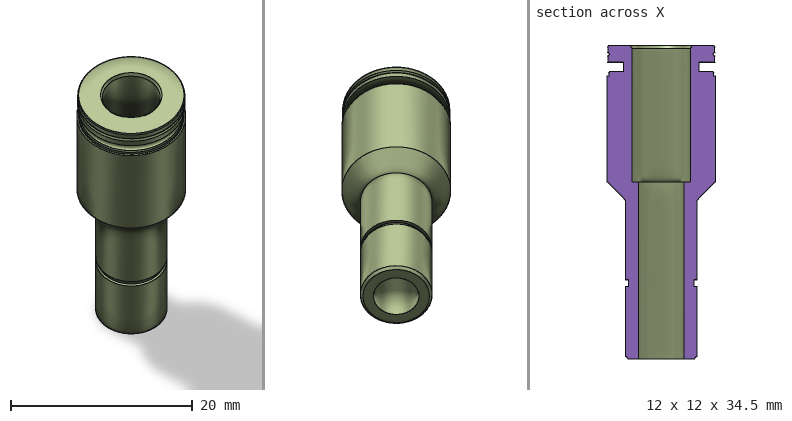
import cadquery as cq

TOTAL_LENGTH = 34.5

BUTTON_DIAMETER = 11.8
BUTTON_HEIGHT = 1.85
BUTTON_CHAMFER_WIDTH = 0.1
BUTTON_CHAMFER_HEIGHT = 0.15
BUTTON_GROOVE_DEPTH = 0.2
BUTTON_GROOVE_BELOW_TOP = 0.95

NECK_DIAMETER = 8.35
NECK_LENGTH = 1.0

COLLAR_DIAMETER = 11.6
COLLAR_HEIGHT = 0.5
COLLAR_CHAMFER_WIDTH = 0.1
COLLAR_CHAMFER_HEIGHT = 0.2
BODY_DIAMETER = 12.0
BODY_HEIGHT = 11.65

STEM_DIAMETER = 7.9
STEM_GROOVE_DIAMETER = 7.3
STEM_GROOVE_BOTTOM = 8.0
STEM_GROOVE_WIDTH = 0.7
STEM_CHAMFER = 0.3

THROUGH_DIAMETER = 5.0
SOCKET_DIAMETER = 6.35
SOCKET_MOUTH_DIAMETER = 6.75
SOCKET_MOUTH_DEPTH = 0.35

BUTTON_BOTTOM = TOTAL_LENGTH - BUTTON_HEIGHT
COLLAR_TOP = BUTTON_BOTTOM - NECK_LENGTH
BODY_TOP = COLLAR_TOP - COLLAR_HEIGHT
BODY_BOTTOM = BODY_TOP - BODY_HEIGHT
STEM_TOP = BODY_BOTTOM - (BODY_DIAMETER - STEM_DIAMETER) / 2
SOCKET_BOTTOM = BODY_BOTTOM


def cylinder(diameter, bottom, top):
    """Round bar about Z between two levels."""
    return cq.Workplane("XY").workplane(offset=bottom).circle(diameter / 2).extrude(top - bottom)


def cone(bottom_diameter, top_diameter, bottom, top):
    """Round taper about Z between two levels."""
    profile = [
        (0, bottom),
        (bottom_diameter / 2, bottom),
        (top_diameter / 2, top),
        (0, top),
    ]
    return cq.Workplane("XZ").polyline(profile).close().revolve(360, (0, 0), (0, 1))


def make_button():
    """Disc with a chamfered top edge and a V groove around its rim."""
    button = cylinder(BUTTON_DIAMETER, BUTTON_BOTTOM, TOTAL_LENGTH)
    button = button.faces(">Z").edges().chamfer(BUTTON_CHAMFER_HEIGHT, BUTTON_CHAMFER_WIDTH)
    rim = BUTTON_DIAMETER / 2
    groove_level = TOTAL_LENGTH - BUTTON_GROOVE_BELOW_TOP
    groove_profile = [
        (rim - BUTTON_GROOVE_DEPTH, groove_level),
        (rim, groove_level + BUTTON_GROOVE_DEPTH),
        (rim, groove_level - BUTTON_GROOVE_DEPTH),
    ]
    groove = cq.Workplane("XZ").polyline(groove_profile).close().revolve(360, (0, 0), (0, 1))
    return button.cut(groove)


def make_body():
    """Cylinder with a chamfered collar on top and a cone leading to the stem."""
    collar = cylinder(COLLAR_DIAMETER, BODY_TOP, COLLAR_TOP)
    collar = collar.faces(">Z").edges().chamfer(COLLAR_CHAMFER_HEIGHT, COLLAR_CHAMFER_WIDTH)
    barrel = cylinder(BODY_DIAMETER, BODY_BOTTOM, BODY_TOP)
    shoulder = cone(STEM_DIAMETER, BODY_DIAMETER, STEM_TOP, BODY_BOTTOM)
    return barrel.union(collar).union(shoulder)


def make_stem():
    """Plug-in stem with a chamfered end and a square retaining groove."""
    groove_top = STEM_GROOVE_BOTTOM + STEM_GROOVE_WIDTH
    end = cylinder(STEM_DIAMETER, 0, STEM_GROOVE_BOTTOM)
    end = end.faces("<Z").edges().chamfer(STEM_CHAMFER)
    core = cylinder(STEM_GROOVE_DIAMETER, STEM_GROOVE_BOTTOM, groove_top)
    root = cylinder(STEM_DIAMETER, groove_top, STEM_TOP)
    return end.union(core).union(root)


def make_bores():
    """Through bore, tube socket and tapered socket mouth."""
    mouth_bottom = TOTAL_LENGTH - SOCKET_MOUTH_DEPTH
    through = cylinder(THROUGH_DIAMETER, 0, TOTAL_LENGTH)
    socket = cylinder(SOCKET_DIAMETER, SOCKET_BOTTOM, TOTAL_LENGTH)
    mouth = cone(SOCKET_DIAMETER, SOCKET_MOUTH_DIAMETER, mouth_bottom, TOTAL_LENGTH)
    return through.union(socket).union(mouth)


neck = cylinder(NECK_DIAMETER, COLLAR_TOP, BUTTON_BOTTOM)
result = make_stem().union(make_body()).union(neck).union(make_button()).cut(make_bores())